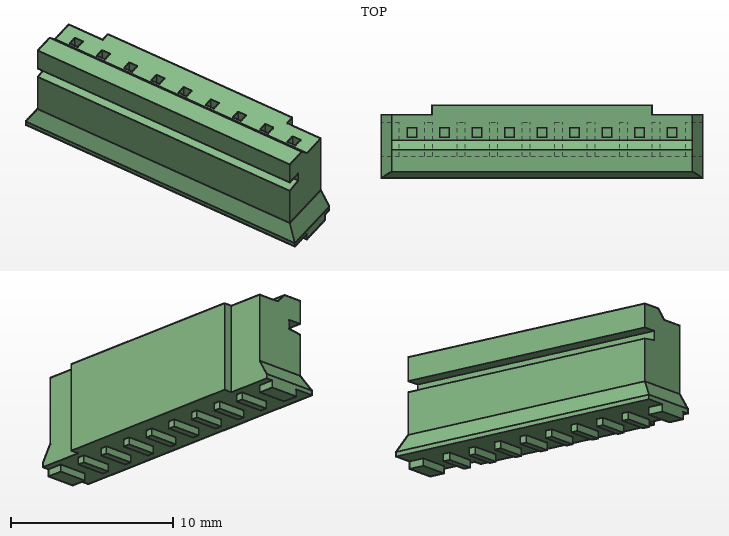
import cadquery as cq

length = 19.8
depth = 4.5
height = 6.85

flare_side = 0.63
flare_front = 0.4
housing_length = length - 2 * flare_side
front_y = flare_front
pad_thickness = 0.6
pad_length = 13.56
back_y = depth - pad_thickness
step_height = 0.6
shoulder_z = height - step_height
ridge_width = 1.35

groove_depth = 0.95
groove_top_z = 5.3
groove_inner_z = 4.71
groove_lip_z = 4.6

foot_height = 0.48
flange_thickness = 0.3
flange_top_z = foot_height + flange_thickness
flare_top_z = 1.85

contact_count = 9
pitch = 2.0
opening_size = 0.6
opening_y = 2.81
opening_depth = 1.98
foot_width = 0.48
end_foot_width = 1.09
foot_front_y = front_y + groove_depth
foot_depth = 2.08


def box(x_center, x_size, y_start, y_size, z_start, z_size):
    """Block centred on x_center, starting at y_start and z_start."""
    return (
        cq.Workplane("XY")
        .box(x_size, y_size, z_size, centered=(True, False, False))
        .translate((x_center, y_start, z_start))
    )


def make_housing():
    """Constant section along X: raised front ridge, sloped step and latch groove."""
    ridge_back_y = front_y + ridge_width
    groove_back_y = front_y + groove_depth
    section = [
        (front_y, foot_height),
        (back_y, foot_height),
        (back_y, shoulder_z),
        (ridge_back_y + step_height, shoulder_z),
        (ridge_back_y, height),
        (front_y, height),
        (front_y, groove_top_z),
        (groove_back_y, groove_top_z),
        (groove_back_y, groove_inner_z),
        (front_y, groove_lip_z),
    ]
    return cq.Workplane("YZ").polyline(section).close().extrude(housing_length / 2, both=True)


def make_flare():
    """Skirt that narrows from the flange to the housing at the front and both ends."""
    housing_depth = back_y - front_y
    return (
        cq.Workplane("XY", origin=(0, back_y / 2, flange_top_z))
        .rect(length, back_y)
        .workplane(offset=flare_top_z - flange_top_z)
        .center(0, front_y / 2)
        .rect(housing_length, housing_depth)
        .loft(ruled=True)
    )


def make_feet():
    """A wide foot at each end and a narrow foot between each pair of openings."""
    end_x = (length - end_foot_width) / 2
    feet = [(-end_x, end_foot_width), (end_x, end_foot_width)]
    gap_count = contact_count - 1
    for i in range(gap_count):
        feet.append(((i - (gap_count - 1) / 2) * pitch, foot_width))
    return [box(x, width, foot_front_y, foot_depth, 0, foot_height) for x, width in feet]


def make_openings():
    """Row of square blind openings in the shoulder."""
    return (
        cq.Workplane("XY", origin=(0, opening_y, shoulder_z))
        .rarray(pitch, 0.2, contact_count, 1)
        .rect(opening_size, opening_size)
        .extrude(-opening_depth)
    )


flange = box(0, length, 0, back_y, foot_height, flange_thickness)
back_pad = box(0, pad_length, back_y, pad_thickness, foot_height, shoulder_z - foot_height)

body = make_housing().union(flange).union(make_flare()).union(back_pad)
for foot in make_feet():
    body = body.union(foot)

result = body.cut(make_openings())